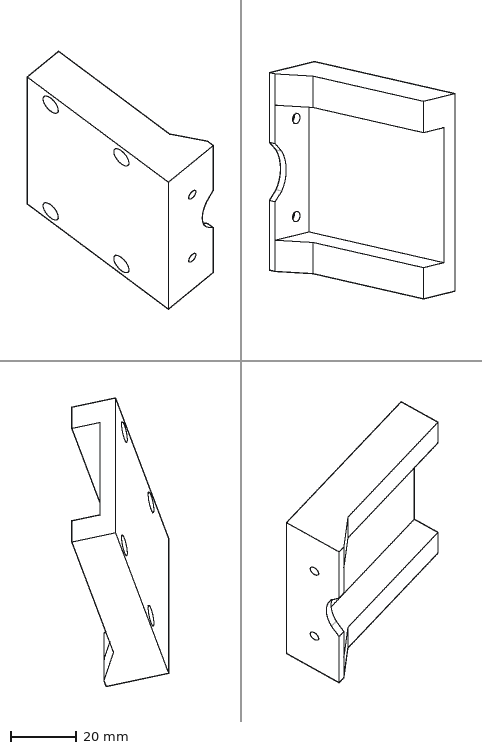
import cadquery as cq
import math

length = 60
depth = 20
height = 62.5
mid_height = height / 2

arm_depth = 14.0
crest_width = 2.5
ramp_angle = math.radians(30)
ramp_run = (depth - arm_depth) / math.tan(ramp_angle)

back_wall = 5
end_wall = 2.5
pocket_height = 42.7

motor_axis_y = 26.1
pilot_radius = 11.0
motor_hole_pitch = 31.0
motor_hole_diameter = 3.2
motor_hole_y = motor_axis_y - motor_hole_pitch / 2
notch_mouth = 18.4

mount_hole_diameter = 6.45
mount_hole_depth = 10
mount_hole_edge = 5
mount_hole_first_x = 10
mount_hole_pitch_x = 30


def make_body():
    """Block with low arms and a ramp up to the end wall."""
    crest_start = length - crest_width
    outline = [
        (0, 0),
        (length, 0),
        (length, depth),
        (crest_start, depth),
        (crest_start - ramp_run, arm_depth),
        (0, arm_depth),
    ]
    return cq.Workplane("XY").polyline(outline).close().extrude(height)


def make_pocket():
    """Motor space, open at the low end and the front."""
    return cq.Workplane("XY").box(
        length - end_wall, depth - back_wall, pocket_height, centered=(False, False, True)
    ).translate((0, back_wall, mid_height))


def make_pilot_notch():
    """Cut for the motor pilot: an arc on the motor axis with 45 degree sides."""
    gap = motor_axis_y - depth
    half_mouth = notch_mouth / 2
    half_sum = (half_mouth - gap) / 2
    constant = (gap**2 + half_mouth**2 - pilot_radius**2) / 2
    side_drop = half_sum + math.sqrt(half_sum**2 - constant)
    arc_y = depth - side_drop
    arc_half = half_mouth - side_drop
    return (
        cq.Workplane("YZ")
        .moveTo(depth, mid_height - half_mouth)
        .lineTo(arc_y, mid_height - arc_half)
        .threePointArc((motor_axis_y - pilot_radius, mid_height), (arc_y, mid_height + arc_half))
        .lineTo(depth, mid_height + half_mouth)
        .close()
        .extrude(length)
    )


def make_motor_holes():
    """Two screw holes through the end wall."""
    offset = motor_hole_pitch / 2
    centers = [(motor_hole_y, mid_height - offset), (motor_hole_y, mid_height + offset)]
    return cq.Workplane("YZ").pushPoints(centers).circle(motor_hole_diameter / 2).extrude(length)


def make_mount_holes():
    """Four blind holes from the back face, two in each arm."""
    centers = [
        (x, z)
        for x in (mount_hole_first_x, mount_hole_first_x + mount_hole_pitch_x)
        for z in (mount_hole_edge, height - mount_hole_edge)
    ]
    return cq.Workplane("XZ").pushPoints(centers).circle(mount_hole_diameter / 2).extrude(-mount_hole_depth)


result = (
    make_body()
    .cut(make_pocket())
    .cut(make_pilot_notch())
    .cut(make_motor_holes())
    .cut(make_mount_holes())
)